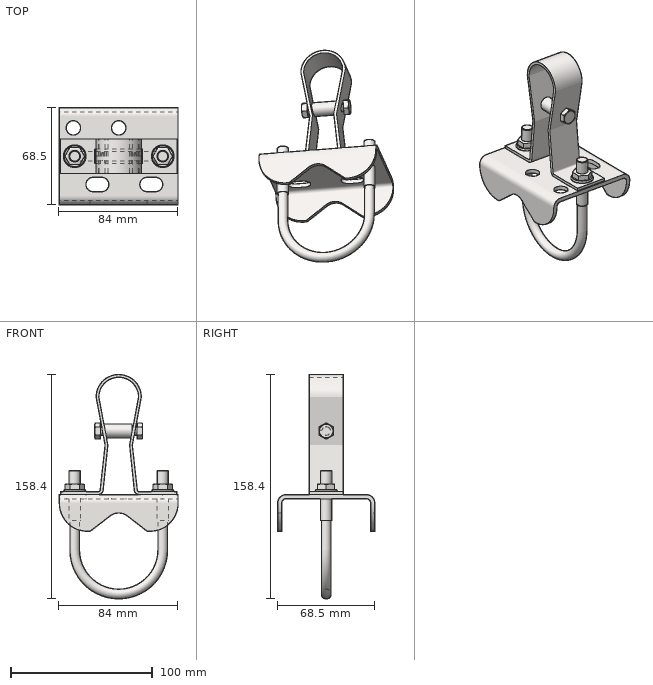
import cadquery as cq
import math


saddle_length = 84.0
saddle_width = 68.5
saddle_thickness = 3.0
saddle_bend_radius = 2 * saddle_thickness
flange_depth = 26.0
flange_corner_radius = flange_depth - saddle_bend_radius
vee_half_width = 20.1
vee_apex_depth = 10.5
vee_apex_radius = 10.0

hole_diameter = 10.0
slot_length = 16.0
hole_row_offset = 20.0
round_hole_positions = (-32.0, 0.0)
slot_positions = (-15.0, 23.0)

strap_thickness = 2.0
strap_width = 24.0
strap_foot_reach = 41.0
strap_foot_half_gap = 13.3
strap_waist_half_width = 9.7
strap_waist_height = 34.8
loop_radius = 16.0
loop_centre_height = 68.7
foot_inner_bend_radius = 1.3
foot_outer_bend_radius = foot_inner_bend_radius + strap_thickness

clamp_height = 44.8
clamp_shank_diameter = 6.0
clamp_head_across_flats = 10.0
clamp_head_thickness = 4.0
clamp_head_end = 17.0
clamp_head_face_diameter = 9.5
clamp_head_chamfer = 0.5
sleeve_diameter = 10.0
sleeve_length = 20.0
sleeve_right_end = 9.5

overall_height = 158.4
rod_diameter = 7.0
thread_diameter = 8.0
leg_offset = 31.0
thread_top = 17.0
thread_bottom = -18.4
thread_chamfer = 0.5
u_bottom = loop_centre_height + loop_radius - overall_height
u_centre_height = u_bottom + rod_diameter / 2 + leg_offset

nut_across_flats = 12.0
nut_top = 7.6
nut_face_diameter = 10.5
nut_chamfer = 0.5
nut_flange_diameter = 16.0
nut_flange_rim = 0.3
nut_flange_top_diameter = 14.7
nut_flange_height = 1.5


def make_saddle():
    """Bent channel, trimmed to the flange outline and pierced by holes and slots."""
    channel = (
        cq.Workplane("XY")
        .box(saddle_length, saddle_width, flange_depth, centered=(True, True, False))
        .translate((0, 0, -flange_depth))
        .edges("|X and >Z")
        .fillet(saddle_bend_radius)
    )
    inside = (
        cq.Workplane("XY")
        .box(
            saddle_length,
            saddle_width - 2 * saddle_thickness,
            flange_depth,
            centered=(True, True, False),
        )
        .translate((0, 0, -flange_depth - saddle_thickness))
        .edges("|X and >Z")
        .fillet(saddle_bend_radius - saddle_thickness)
    )

    half_length = saddle_length / 2
    arc_centre_x = half_length - flange_corner_radius
    arc_mid_shift = flange_corner_radius * math.sqrt(0.5)
    arc_mid_x = arc_centre_x + arc_mid_shift
    arc_mid_z = -saddle_bend_radius - arc_mid_shift
    flange_outline = (
        cq.Workplane("XZ")
        .moveTo(-half_length, 0)
        .lineTo(half_length, 0)
        .lineTo(half_length, -saddle_bend_radius)
        .threePointArc((arc_mid_x, arc_mid_z), (arc_centre_x, -flange_depth))
        .lineTo(vee_half_width, -flange_depth)
        .lineTo(0, -vee_apex_depth)
        .lineTo(-vee_half_width, -flange_depth)
        .lineTo(-arc_centre_x, -flange_depth)
        .threePointArc((-arc_mid_x, arc_mid_z), (-half_length, -saddle_bend_radius))
        .close()
        .extrude(saddle_width / 2, both=True)
        .edges(cq.NearestToPointSelector((0, 0, -vee_apex_depth)))
        .fillet(vee_apex_radius)
    )

    saddle = channel.cut(inside).intersect(flange_outline)
    round_holes = (
        cq.Workplane("XY")
        .pushPoints([(x, hole_row_offset) for x in round_hole_positions])
        .circle(hole_diameter / 2)
        .extrude(-saddle_thickness)
    )
    slots = (
        cq.Workplane("XY")
        .pushPoints([(x, -hole_row_offset) for x in slot_positions])
        .slot2D(slot_length, hole_diameter)
        .extrude(-saddle_thickness)
    )
    return saddle.cut(round_holes).cut(slots)


def keyhole(inset, foot_height):
    """Solid keyhole outline, moved inward by inset, from foot_height up to the loop."""
    loop = loop_radius - inset
    waist = strap_waist_half_width - inset
    foot = strap_foot_half_gap - inset
    return (
        cq.Workplane("XZ")
        .moveTo(-foot, foot_height)
        .lineTo(foot, foot_height)
        .lineTo(waist, strap_waist_height)
        .lineTo(loop, loop_centre_height)
        .threePointArc((0, loop_centre_height + loop), (-loop, loop_centre_height))
        .lineTo(-waist, strap_waist_height)
        .close()
        .extrude(strap_width / 2, both=True)
    )


def make_strap():
    """Keyhole strap with outward feet and rounded foot bends."""
    feet = cq.Workplane("XY").box(
        2 * strap_foot_reach, strap_width, strap_thickness, centered=(True, True, False)
    )
    strap = feet.union(keyhole(0, strap_thickness)).cut(keyhole(strap_thickness, 0))
    for side in (-1, 1):
        inner_corner = (side * strap_foot_half_gap, 0, strap_thickness)
        outer_corner = (side * (strap_foot_half_gap - strap_thickness), 0, 0)
        strap = strap.edges(cq.NearestToPointSelector(inner_corner)).fillet(foot_inner_bend_radius)
        strap = strap.edges(cq.NearestToPointSelector(outer_corner)).fillet(foot_outer_bend_radius)
    return strap


def chamfered_hexagon(across_flats, height, face_diameter, chamfer):
    """Hexagonal prism on Z = 0, corners along X, with a conical chamfer on its top face."""
    across_corners = across_flats / math.cos(math.pi / 6)
    prism = cq.Workplane("XY").polygon(6, across_corners).extrude(height)
    envelope = (
        cq.Workplane("XZ")
        .moveTo(0, 0)
        .lineTo(across_corners / 2, 0)
        .lineTo(across_corners / 2, height - chamfer)
        .lineTo(face_diameter / 2, height)
        .lineTo(0, height)
        .close()
        .revolve(360, (0, 0), (0, 1))
    )
    return prism.intersect(envelope)


def make_clamp_bolt():
    """Cross bolt with a hexagon at each end and a spacer sleeve inside the strap."""
    shank_half_length = clamp_head_end - clamp_head_thickness
    shank = (
        cq.Workplane("YZ")
        .center(0, clamp_height)
        .circle(clamp_shank_diameter / 2)
        .extrude(shank_half_length, both=True)
    )
    sleeve = (
        cq.Workplane("YZ", origin=(sleeve_right_end, 0, clamp_height))
        .circle(sleeve_diameter / 2)
        .extrude(-sleeve_length)
    )
    bolt = shank.union(sleeve)
    head = chamfered_hexagon(
        clamp_head_across_flats,
        clamp_head_thickness,
        clamp_head_face_diameter,
        clamp_head_chamfer,
    )
    for side in (-1, 1):
        turned_head = head.rotate((0, 0, 0), (0, 1, 0), side * 90)
        bolt = bolt.union(turned_head.translate((side * shank_half_length, 0, clamp_height)))
    return bolt


def make_u_bolt():
    """Half-circle rod with straight legs and thicker threaded ends."""
    bend = (
        cq.Workplane("XY", origin=(-leg_offset, 0, u_centre_height))
        .circle(rod_diameter / 2)
        .revolve(180, (leg_offset, 0), (leg_offset, -1))
    )
    legs = (
        cq.Workplane("XY", origin=(0, 0, u_centre_height))
        .pushPoints([(-leg_offset, 0), (leg_offset, 0)])
        .circle(rod_diameter / 2)
        .extrude(thread_bottom - u_centre_height)
    )
    threads = (
        cq.Workplane("XY", origin=(0, 0, thread_bottom))
        .pushPoints([(-leg_offset, 0), (leg_offset, 0)])
        .circle(thread_diameter / 2)
        .extrude(thread_top - thread_bottom)
        .faces(">Z")
        .edges()
        .chamfer(thread_chamfer)
    )
    return bend.union(legs).union(threads)


def make_nut():
    """Hexagon nut on a conical flange, resting on Z = 0."""
    flange = (
        cq.Workplane("XZ")
        .moveTo(0, 0)
        .lineTo(nut_flange_diameter / 2, 0)
        .lineTo(nut_flange_diameter / 2, nut_flange_rim)
        .lineTo(nut_flange_top_diameter / 2, nut_flange_height)
        .lineTo(0, nut_flange_height)
        .close()
        .revolve(360, (0, 0), (0, 1))
    )
    hexagon = chamfered_hexagon(
        nut_across_flats, nut_top - strap_thickness, nut_face_diameter, nut_chamfer
    )
    return flange.union(hexagon)


assembly = make_saddle().union(make_strap()).union(make_clamp_bolt()).union(make_u_bolt())
nut = make_nut()
for side in (-1, 1):
    assembly = assembly.union(nut.translate((side * leg_offset, 0, strap_thickness)))

result = assembly